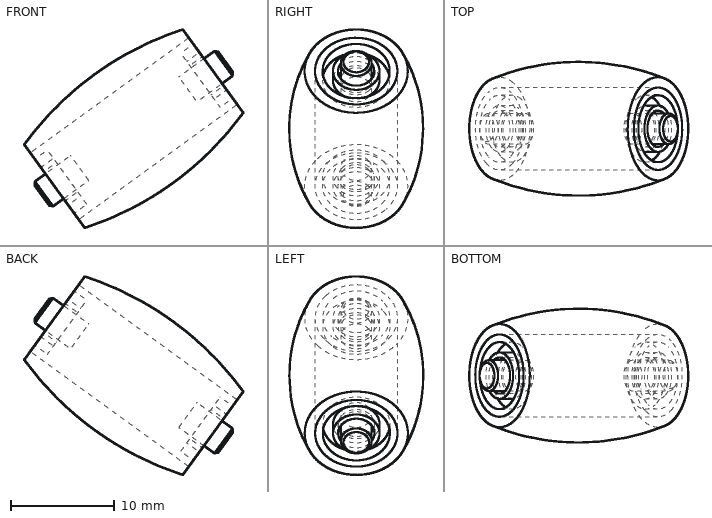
import cadquery as cq

TILT_ANGLE = 36.0
ROLLER_LENGTH = 19.0
ROLLER_END_DIAMETER = 10.0
ROLLER_CROWN_DIAMETER = 13.0

CORE_DIAMETER = 8.0
RECESS_DIAMETER = 6.5
HUB_DIAMETER = 4.5
RECESS_DEPTH = 1.5

PIN_DIAMETER = 3.0
PIN_PROTRUSION = 1.5
PIN_CHAMFER = 0.25
CLEARANCE_DIAMETER = 3.5
CLEARANCE_DEPTH = 1.5
SOCKET_DEPTH = 2 * CLEARANCE_DEPTH

HALF_LENGTH = ROLLER_LENGTH / 2
END_SIDES = (-1, 1)


def cylinder_along_x(diameter, start, length):
    """Cylinder on the X axis; a negative length runs toward -X."""
    return cq.Workplane("YZ", origin=(start, 0, 0)).circle(diameter / 2).extrude(length)


def tilt(body):
    return body.rotate((0, 0, 0), (0, 1, 0), -TILT_ANGLE)


def make_barrel():
    """Outer sleeve with an arc-shaped crown around the core."""
    end_radius = ROLLER_END_DIAMETER / 2
    bore_radius = CORE_DIAMETER / 2
    profile = (
        cq.Workplane("XY")
        .moveTo(-HALF_LENGTH, bore_radius)
        .lineTo(-HALF_LENGTH, end_radius)
        .threePointArc((0, ROLLER_CROWN_DIAMETER / 2), (HALF_LENGTH, end_radius))
        .lineTo(HALF_LENGTH, bore_radius)
        .close()
    )
    return profile.revolve(360, (0, 0, 0), (1, 0, 0))


def make_core():
    """Core with an annular recess, a clearance bore and a pin socket in each end."""
    core = cylinder_along_x(CORE_DIAMETER, -HALF_LENGTH, ROLLER_LENGTH)
    for side in END_SIDES:
        face = side * HALF_LENGTH
        recess = cylinder_along_x(RECESS_DIAMETER, face, -side * RECESS_DEPTH)
        hub = cylinder_along_x(HUB_DIAMETER, face, -side * RECESS_DEPTH)
        clearance = cylinder_along_x(CLEARANCE_DIAMETER, face, -side * CLEARANCE_DEPTH)
        socket = cylinder_along_x(PIN_DIAMETER, face, -side * SOCKET_DEPTH)
        core = core.cut(recess.cut(hub)).cut(clearance).cut(socket)
    return core


def make_pin(side):
    """Pin seated in one end of the core, with a chamfered outer tip."""
    seat = side * (HALF_LENGTH - SOCKET_DEPTH)
    pin = cylinder_along_x(PIN_DIAMETER, seat, side * (SOCKET_DEPTH + PIN_PROTRUSION))
    tip_selector = ">X" if side > 0 else "<X"
    return pin.faces(tip_selector).edges().chamfer(PIN_CHAMFER)


barrel = tilt(make_barrel())
core = tilt(make_core())
pins = [tilt(make_pin(side)) for side in END_SIDES]

result = cq.Compound.makeCompound([barrel.val(), core.val(), *[pin.val() for pin in pins]])